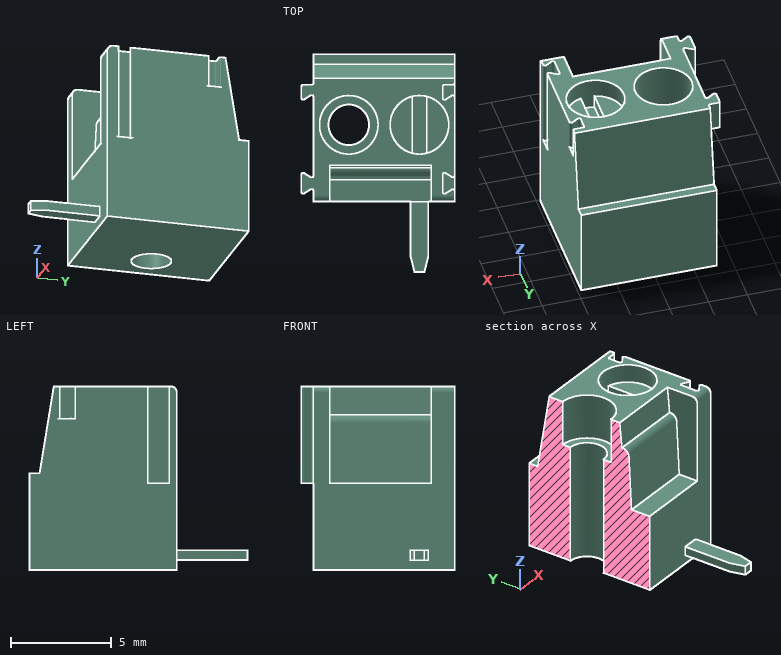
import cadquery as cq


housing_width = 7.0
housing_depth = 7.3
housing_height = 9.1
housing_left = -housing_width / 2
front_edge_radius = 0.3

back_ledge_height = 4.81
back_ledge_depth = 0.5
back_top_setback = 1.2

recess_left_margin = 0.8
recess_width = 5.03
recess_floor_height = 4.3
recess_floor_depth = 1.09
recess_step_height = 7.69
recess_lip_depth = 1.26
recess_step_depth = 1.67
recess_top_depth = 1.8
recess_lip_radius = 0.4

pole_pitch = housing_width / 2
open_pole_x = -pole_pitch / 2
screw_pole_x = pole_pitch / 2
pole_rear_setback = 3.5
pole_y = housing_depth - pole_rear_setback
bore_diameter = 2.9
bore_depth = 2.5
through_hole_diameter = 2.0

screw_top_recess = 1.0
screw_slot_width = 0.7
screw_slot_depth = 0.7

pin_length = 3.5
pin_width = 0.9
pin_tip_width = 0.5
pin_taper_length = 0.8
pin_thickness = 0.5
pin_base_height = 0.5

tab_reach = 0.6
tab_flare = 0.39
tab_corner_radius = 0.1
tab_backing_depth = 0.11
tab_backing_margin = 0.22
front_tab_root_start = 0.69
front_tab_root_end = 1.12
front_tab_length = housing_height - recess_floor_height
rear_tab_root_start = 5.35
rear_tab_root_end = 5.79
rear_tab_length = 1.6


def block():
    """Side outline of the housing extruded across its width."""
    outline = (
        cq.Workplane("YZ", origin=(housing_left, 0, 0))
        .polyline([
            (0, 0),
            (housing_depth, 0),
            (housing_depth, back_ledge_height),
            (housing_depth - back_ledge_depth, back_ledge_height),
            (housing_depth - back_top_setback, housing_height),
            (0, housing_height),
        ])
        .close()
    )
    return outline.extrude(housing_width).edges("<Y and >Z").fillet(front_edge_radius)


def front_recess():
    """Material removed from the upper front, leaving a rounded lip below a second wall."""
    outline = (
        cq.Workplane("YZ", origin=(housing_left + recess_left_margin, 0, 0))
        .polyline([
            (0, recess_floor_height),
            (recess_floor_depth, recess_floor_height),
            (recess_lip_depth, recess_step_height),
            (recess_step_depth, recess_step_height),
            (recess_top_depth, housing_height),
            (0, housing_height),
        ])
        .close()
    )
    recess_middle_x = housing_left + recess_left_margin + recess_width / 2
    lip_edge = cq.selectors.NearestToPointSelector(
        (recess_middle_x, recess_lip_depth, recess_step_height)
    )
    return outline.extrude(recess_width).edges(lip_edge).fillet(recess_lip_radius)


def dovetail(root_start, root_end, rear_flare, length):
    """Rounded tab on the left side, hanging down from the top by the given length."""
    outer_x = housing_left - tab_reach
    backing_x = housing_left + tab_backing_depth
    outline = (
        cq.Workplane("XY", origin=(0, 0, housing_height - length))
        .polyline([
            (backing_x, root_start - tab_backing_margin),
            (housing_left, root_start - tab_backing_margin),
            (housing_left, root_start),
            (outer_x, root_start - tab_flare),
            (outer_x, root_end + rear_flare),
            (housing_left, root_end),
            (housing_left, root_end + tab_backing_margin),
            (backing_x, root_end + tab_backing_margin),
        ])
        .close()
    )
    tab = outline.extrude(length)
    corners = [
        (outer_x, root_start - tab_flare),
        (outer_x, root_end + rear_flare),
        (housing_left, root_start),
        (housing_left, root_end),
    ]
    for x, y in corners:
        corner = cq.selectors.NearestToPointSelector((x, y, housing_height - length / 2))
        tab = tab.edges("|Z").edges(corner).fillet(tab_corner_radius)
    return tab


def vertical_cylinder(x, diameter, bottom, top):
    return (
        cq.Workplane("XY", origin=(x, pole_y, bottom))
        .circle(diameter / 2)
        .extrude(top - bottom)
    )


def make_housing():
    body = block().cut(front_recess())
    dovetails = [
        dovetail(front_tab_root_start, front_tab_root_end, tab_flare, front_tab_length),
        dovetail(rear_tab_root_start, rear_tab_root_end, 0, rear_tab_length),
    ]
    for tab in dovetails:
        slot = tab.translate((housing_width, 0, 0))
        body = body.union(tab).cut(slot)
    for pole_x in (open_pole_x, screw_pole_x):
        bore_floor = housing_height - bore_depth
        body = body.cut(vertical_cylinder(pole_x, bore_diameter, bore_floor, housing_height))
    return body.cut(vertical_cylinder(open_pole_x, through_hole_diameter, 0, housing_height))


def make_screw():
    """Slotted screw head seated on the floor of its bore."""
    top = housing_height - screw_top_recess
    head = vertical_cylinder(screw_pole_x, bore_diameter, housing_height - bore_depth, top)
    slot = (
        cq.Workplane("XY", origin=(screw_pole_x, pole_y, top - screw_slot_depth))
        .rect(screw_slot_width, bore_diameter)
        .extrude(screw_slot_depth)
    )
    return head.cut(slot)


def make_pin():
    """Flat pin standing out from the front face, with a tapered tip."""
    taper_start = -(pin_length - pin_taper_length)
    return (
        cq.Workplane("XY", origin=(screw_pole_x, 0, pin_base_height))
        .polyline([
            (-pin_width / 2, 0),
            (-pin_width / 2, taper_start),
            (-pin_tip_width / 2, -pin_length),
            (pin_tip_width / 2, -pin_length),
            (pin_width / 2, taper_start),
            (pin_width / 2, 0),
        ])
        .close()
        .extrude(pin_thickness)
    )


housing = make_housing()
screw = make_screw()
pin = make_pin()

result = cq.Compound.makeCompound([housing.solids().val(), screw.solids().val(), pin.val()])